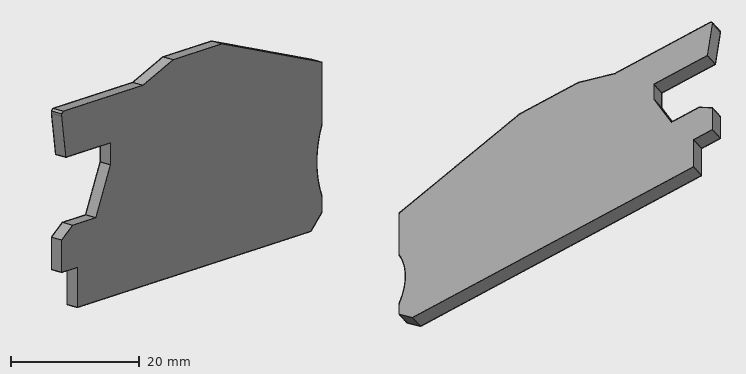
import cadquery as cq

thickness = 2.2
length = 59.45
height = 35.3

foot_setback = 3.55
foot_height = 6.55
tab_top = 13.7
tab_chamfer_length = 2.5
tab_chamfer_height = 1.85
notch_floor_inner = 7.8
notch_depth = 11.1
notch_slope_top = 21.5
arm_bottom = 25.1
arm_top = 32.75
arm_bottom_setback = 0.95
arm_nose_bottom = 32.05
arm_corner = 0.35

crown_start = 25.45
crown_end = 36.55
front_slope_start = 18.55

back_top = 27.0
back_chamfer = 2.55
hollow_bottom = 5.1
hollow_top = 16.9
hollow_depth = 1.2
hollow_middle = (hollow_bottom + hollow_top) / 2

result = (
    cq.Workplane("YZ")
    .moveTo(foot_setback, 0)
    .lineTo(foot_setback, foot_height)
    .lineTo(0, foot_height)
    .lineTo(0, tab_top - tab_chamfer_height)
    .lineTo(tab_chamfer_length, tab_top)
    .lineTo(notch_floor_inner, tab_top)
    .lineTo(notch_depth, notch_slope_top)
    .lineTo(notch_depth, arm_bottom)
    .lineTo(arm_bottom_setback, arm_bottom)
    .lineTo(0, arm_nose_bottom)
    .lineTo(0, arm_top - arm_corner)
    .lineTo(arm_corner, arm_top)
    .lineTo(front_slope_start, arm_top)
    .lineTo(crown_start, height)
    .lineTo(crown_end, height)
    .lineTo(length, back_top)
    .lineTo(length, hollow_top)
    .threePointArc((length - hollow_depth, hollow_middle), (length, hollow_bottom))
    .lineTo(length, back_chamfer)
    .lineTo(length - back_chamfer, 0)
    .close()
    .extrude(thickness / 2, both=True)
)